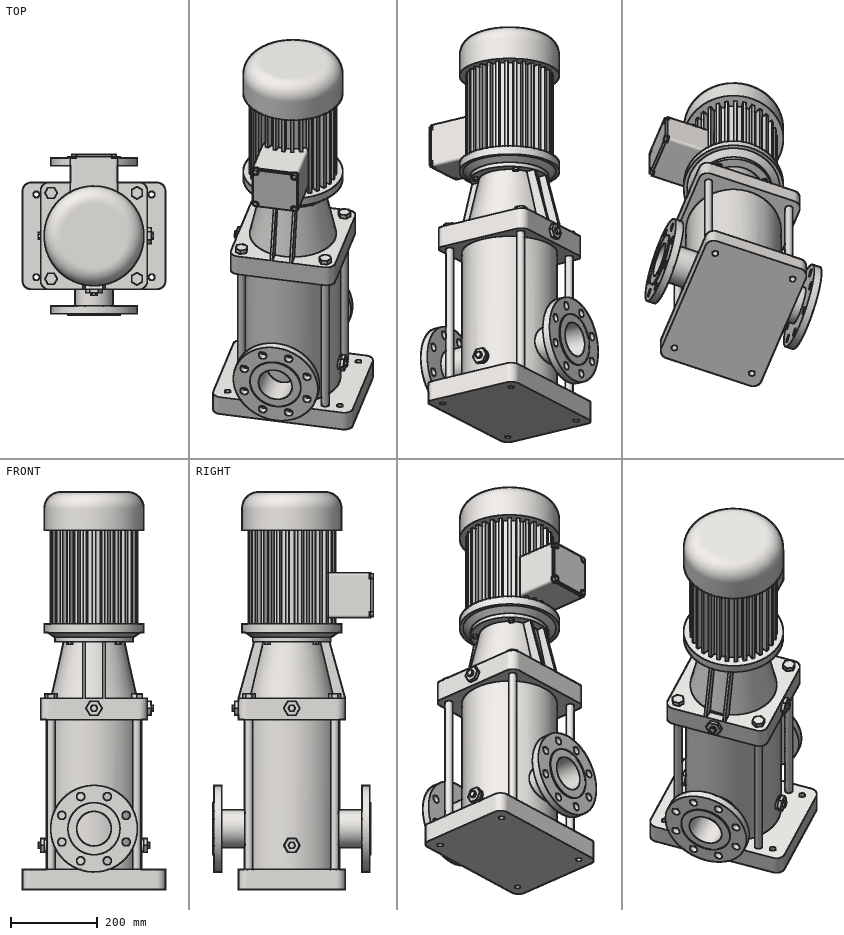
import cadquery as cq
import math

TOTAL_HEIGHT = 916.0

BASE_LENGTH = 330.0
PLATE_WIDTH = 246.0
PLATE_CORNER = 20.0
BASE_TOP = 47.0
HEAD_BOTTOM = 391.0
HEAD_TOP = 441.0
BASE_HOLE_D = 14.0
BASE_HOLE_X = 133.0
BASE_HOLE_Y = 95.0

BODY_D = 220.0
ROD_D = 18.0
ROD_OFFSET = 99.0
NUT_FLATS = 25.0
NUT_HEIGHT = 10.0

PORT_Z = 140.0
PIPE_D = 88.0
BORE_D = 80.0
FLANGE_D = 200.0
FLANGE_BACK = 161.0
FLANGE_FRONT = 179.5
RAISED_FACE_D = 120.0
RAISED_FACE = 3.0
FLANGE_HOLES = 8
FLANGE_HOLE_D = 18.0
FLANGE_HOLE_CIRCLE = 160.0

PLUG_COLLAR_D = 32.0
PLUG_COLLAR = 5.0
PLUG_ROOT = 9.0
PLUG_FLATS = 32.0
PLUG_HEAD = 8.0
PLUG_TIP_FLATS = 14.0
PLUG_TIP = 5.5
DRAIN_PLUG_Z = 102.0
HEAD_PLUG_Z = 418.0

CONE_BOTTOM_D = 200.0
CONE_TOP_D = 141.0
STOOL_TOP = 571.0
RIB_INNER_X = 20.0
RIB_THICKNESS = 5.5
RIB_FOOT_Y = PLATE_WIDTH / 2
RIB_TOP_Y = 87.0
GUTTER_DEPTH = 5.0
STOOL_BOLT_OFFSET = 56.0
STOOL_BOLT_FLATS = 12.0
STOOL_BOLT_HEIGHT = 5.5

SPIGOT_D = 180.0
SPIGOT_TOP = 581.0
MOTOR_D = 230.0
MOTOR_TAPER_TOP = 592.0
MOTOR_TAPER_D = 214.0
MOTOR_FLANGE_TOP = 612.0
COWL_BOTTOM = 827.0
COWL_FILLET = 38.5
CORE_D = 174.0
FIN_TIP_D = 201.5
FIN_THICKNESS = 7.0
FIN_COUNT = 30

BOX_WIDTH = 109.0
BOX_BOTTOM = 626.0
BOX_TOP = 730.0
BOX_END_Y = 182.0
BOX_CORNER = 6.0
LID_INSET = 3.0
LID_THICKNESS = 5.5
SCREW_INSET = 8.0
SCREW_D = 11.0
SCREW_RECESS_D = 16.5
SCREW_SEAT_Y = 179.0


def cylinder(diameter, bottom, top, x=0, y=0):
    """Upright cylinder between two heights."""
    return cq.Workplane("XY", origin=(x, y, bottom)).circle(diameter / 2).extrude(top - bottom)


def hexagon(flats, bottom, height, x=0, y=0, turn=0):
    """Upright hexagonal prism, sized across its flats."""
    across_corners = flats / math.cos(math.pi / 6)
    prism = cq.Workplane("XY").polygon(6, across_corners).extrude(height)
    return prism.rotate((0, 0, 0), (0, 0, 1), turn).translate((x, y, bottom))


def frustum(bottom_d, top_d, bottom, top):
    """Upright truncated cone between two heights."""
    lower = cq.Workplane("XY", origin=(0, 0, bottom)).circle(bottom_d / 2)
    return lower.workplane(offset=top - bottom).circle(top_d / 2).loft()


def corner_points(x, y):
    return [(sx * x, sy * y) for sx in (-1, 1) for sy in (-1, 1)]


def plate(length, bottom, top):
    blank = cq.Workplane("XY", origin=(0, 0, bottom)).rect(length, PLATE_WIDTH).extrude(top - bottom)
    return blank.edges("|Z").fillet(PLATE_CORNER)


def base_plate():
    holes = cq.Workplane("XY").pushPoints(corner_points(BASE_HOLE_X, BASE_HOLE_Y))
    return plate(BASE_LENGTH, 0, BASE_TOP).cut(holes.circle(BASE_HOLE_D / 2).extrude(BASE_TOP))


def tie_rods():
    """Four rods between the plates, each with a hexagon nut on the head plate."""
    parts = []
    for x, y in corner_points(ROD_OFFSET, ROD_OFFSET):
        turn = 30 if x > 0 else 0
        parts.append(cylinder(ROD_D, BASE_TOP, HEAD_BOTTOM, x, y))
        parts.append(hexagon(NUT_FLATS, HEAD_TOP, NUT_HEIGHT, x, y, turn))
    return parts


def front_port():
    """Flanged pipe along -Y, bored down to the body wall."""
    def disc(diameter, start, end):
        return cq.Workplane("XZ", origin=(0, -start, PORT_Z)).circle(diameter / 2).extrude(end - start)

    face_end = FLANGE_FRONT + RAISED_FACE
    port = disc(PIPE_D, 0, FLANGE_BACK)
    port = port.union(disc(FLANGE_D, FLANGE_BACK, FLANGE_FRONT))
    port = port.union(disc(RAISED_FACE_D, FLANGE_FRONT, face_end))
    port = port.cut(disc(BORE_D, 0, face_end))
    bolt_holes = (
        cq.Workplane("XZ", origin=(0, -FLANGE_BACK, PORT_Z))
        .polarArray(FLANGE_HOLE_CIRCLE / 2, 180 / FLANGE_HOLES, 360, FLANGE_HOLES)
        .circle(FLANGE_HOLE_D / 2)
        .extrude(face_end - FLANGE_BACK)
    )
    return port.cut(bolt_holes)


def plug(distance, z, direction, collar):
    """Hexagon plug pointing outward; direction is its angle about Z from +X."""
    head_end = collar + PLUG_HEAD
    body = cylinder(PLUG_COLLAR_D, -PLUG_ROOT, collar)
    body = body.union(hexagon(PLUG_FLATS, collar, PLUG_HEAD))
    body = body.union(hexagon(PLUG_TIP_FLATS, head_end, PLUG_TIP))
    body = body.rotate((0, 0, 0), (0, 0, 1), 90).rotate((0, 0, 0), (0, 1, 0), 90)
    return body.translate((distance, 0, z)).rotate((0, 0, 0), (0, 0, 1), direction)


def stool():
    """Cone with two ribs on the front and two on the back, and bolt heads under its top."""
    body = frustum(CONE_BOTTOM_D, CONE_TOP_D, HEAD_TOP, STOOL_TOP)
    rib_outline = [
        (-RIB_FOOT_Y, HEAD_TOP),
        (RIB_FOOT_Y, HEAD_TOP),
        (RIB_TOP_Y, STOOL_TOP),
        (-RIB_TOP_Y, STOOL_TOP),
    ]
    for x in (RIB_INNER_X, -RIB_INNER_X - RIB_THICKNESS):
        rib = cq.Workplane("YZ", origin=(x, 0, 0)).polyline(rib_outline).close().extrude(RIB_THICKNESS)
        body = body.union(rib)
    for x, y in corner_points(STOOL_BOLT_OFFSET, STOOL_BOLT_OFFSET):
        bottom = STOOL_TOP - STOOL_BOLT_HEIGHT
        body = body.union(hexagon(STOOL_BOLT_FLATS, bottom, STOOL_BOLT_HEIGHT, x, y))
    return body


def motor():
    body = cylinder(SPIGOT_D, STOOL_TOP, SPIGOT_TOP)
    body = body.union(frustum(SPIGOT_D, MOTOR_TAPER_D, SPIGOT_TOP, MOTOR_TAPER_TOP))
    body = body.union(cylinder(MOTOR_D, MOTOR_TAPER_TOP, MOTOR_FLANGE_TOP))
    body = body.union(cylinder(CORE_D, MOTOR_FLANGE_TOP, COWL_BOTTOM))
    for i in range(FIN_COUNT // 2):
        bar = cq.Workplane("XY", origin=(0, 0, MOTOR_FLANGE_TOP)).rect(FIN_THICKNESS, FIN_TIP_D)
        bar = bar.extrude(COWL_BOTTOM - MOTOR_FLANGE_TOP)
        body = body.union(bar.rotate((0, 0, 0), (0, 0, 1), i * 360 / FIN_COUNT))
    cowl = cylinder(MOTOR_D, COWL_BOTTOM, TOTAL_HEIGHT).faces(">Z").edges().fillet(COWL_FILLET)
    return body.union(cowl)


def terminal_box():
    """Box on the back of the motor, with a lid held by a recessed screw in each corner."""
    height = BOX_TOP - BOX_BOTTOM
    middle = (BOX_TOP + BOX_BOTTOM) / 2
    lid_end = BOX_END_Y + LID_THICKNESS

    def block(inset, start, end):
        outline = cq.Workplane("XZ", origin=(0, end, middle)).rect(BOX_WIDTH - 2 * inset, height - 2 * inset)
        return outline.extrude(end - start).edges("|Y").fillet(BOX_CORNER)

    def corner_pins(diameter):
        centres = corner_points(BOX_WIDTH / 2 - SCREW_INSET, height / 2 - SCREW_INSET)
        face = cq.Workplane("XZ", origin=(0, lid_end, middle))
        return face.pushPoints(centres).circle(diameter / 2).extrude(lid_end - SCREW_SEAT_Y)

    box = block(0, 0, BOX_END_Y).union(block(LID_INSET, BOX_END_Y, lid_end))
    return box.cut(corner_pins(SCREW_RECESS_D)).union(corner_pins(SCREW_D))


def gutter():
    """Shallow wedge between the front ribs, sloping down towards the cone."""
    cone_y = CONE_BOTTOM_D / 2
    outline = [(-RIB_FOOT_Y, HEAD_TOP), (-cone_y, HEAD_TOP), (-cone_y, HEAD_TOP - GUTTER_DEPTH)]
    wedge = cq.Workplane("YZ", origin=(-RIB_INNER_X, 0, 0)).polyline(outline).close()
    return wedge.extrude(2 * RIB_INNER_X)


port = front_port()
result = base_plate()
result = result.union(port).union(port.mirror("XZ"))
result = result.union(cylinder(BODY_D, BASE_TOP, HEAD_BOTTOM))
result = result.union(plate(PLATE_WIDTH, HEAD_BOTTOM, HEAD_TOP).cut(gutter()))
for part in tie_rods():
    result = result.union(part)
for direction in (0, 180):
    result = result.union(plug(BODY_D / 2, DRAIN_PLUG_Z, direction, PLUG_COLLAR))
for direction in (0, -90):
    result = result.union(plug(PLATE_WIDTH / 2, HEAD_PLUG_Z, direction, 0))
result = result.union(stool()).union(motor()).union(terminal_box())